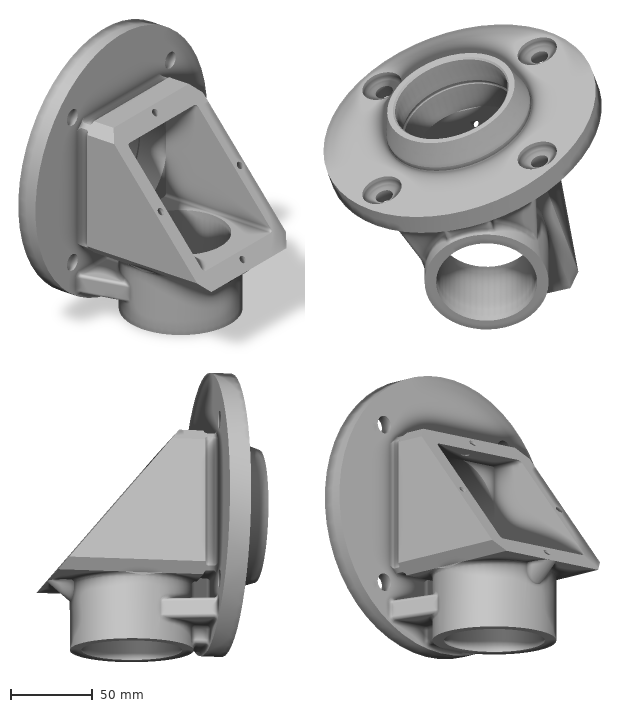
import cadquery as cq
import math

TOLERANCE = 0.02
BLEND = 2.1

FLANGE_DIA = 174.0
FLANGE_THICK = 13.2
BOLT_OFFSET = 49.6
BOLT_DIA = 11.0
BOLT_RECESS_DIA = 25.0
BOLT_RECESS_DEPTH = 5.0

SPIGOT_LENGTH = 19.0
SPIGOT_DIA = 92.0
SPIGOT_TIP_DIA = 81.5
SPIGOT_STRAIGHT = 3.5
SPIGOT_ROOT = 0.7

INLET_DIA = 72.0
INLET_BEVEL = 1.0
SEAL_DIA = 75.0
SEAL_START_X = -0.7
SEAL_WIDTH = 3.0

HOUSING_WIDTH = 89.8
HOUSING_CHAMFER = 6.8
HOUSING_TIP_X = 111.5
SLOPE_ANGLE = 50.0
GROOVE_WIDTH = 7.8

CAVITY_WIDTH = 70.0
CAVITY_START_X = 21.0

TUBE_DIA = 76.0
TUBE_BORE_DIA = 62.0
TUBE_X = 59.0
TUBE_BOTTOM_Z = -86.3

WEB_WIDTH = 29.5
WEB_BOTTOM_Z = -83.3
RIB_Z = -66.3
RIB_THICK = 12.5
RIB_ROOT_WIDTH = 89.5
RIB_TIP_X = 47.2

SCREW_DIA = 4.9
SCREW_DEPTH = 10.5
SCREW_INSET = 4.9
SCREW_TIP_INSET = 7.5
SCREW_SIDE_X = 74.1
BOSS_DIA = 15.3
BOSS_LENGTH = 24.4

HALF = HOUSING_WIDTH / 2
SLOPE = math.radians(SLOPE_ANGLE)
HOUSING_TOP_X = HOUSING_TIP_X - HOUSING_WIDTH / math.tan(SLOPE)
TUBE_R = TUBE_DIA / 2


def x_cylinder(dia, x_start, x_end, y=0.0, z=0.0):
    """Cylinder along X between two stations."""
    plane = cq.Workplane("YZ", origin=(x_start, y, z))
    return plane.circle(dia / 2).extrude(x_end - x_start)


def x_cone(start_dia, end_dia, x_start, x_end):
    """Truncated cone along X between two stations."""
    base = cq.Vector(x_start, 0, 0)
    along_x = cq.Vector(1, 0, 0)
    return cq.Workplane(cq.Solid.makeCone(start_dia / 2, end_dia / 2, x_end - x_start, base, along_x))


def slope_point(along, y):
    """Point on the sloping face, a distance up the slope from its lower tip."""
    return (HOUSING_TIP_X - along * math.cos(SLOPE), y, -HALF + along * math.sin(SLOPE))


def into_slope(dia, depth, along, y):
    """Cylinder entering the housing square to the sloping face."""
    inward = cq.Vector(-math.sin(SLOPE), 0, -math.cos(SLOPE))
    return cq.Workplane(cq.Solid.makeCylinder(dia / 2, depth, cq.Vector(*slope_point(along, y)), inward))


def below_slope():
    """Region under the sloping face."""
    return (
        cq.Workplane("XZ")
        .moveTo(0, HALF)
        .lineTo(HOUSING_TOP_X, HALF)
        .lineTo(HOUSING_TIP_X, -HALF)
        .lineTo(0, -HALF)
        .close()
        .extrude(HALF, both=True)
    )


def spigot():
    taper = x_cone(SPIGOT_TIP_DIA, SPIGOT_DIA, -SPIGOT_LENGTH, -SPIGOT_STRAIGHT)
    straight = x_cylinder(SPIGOT_DIA, -SPIGOT_STRAIGHT, 0)
    root = x_cone(SPIGOT_DIA, SPIGOT_DIA + 2 * SPIGOT_ROOT, -SPIGOT_ROOT, 0)
    return taper.union(straight).union(root)


def housing():
    prism = (
        cq.Workplane("YZ")
        .rect(HOUSING_WIDTH, HOUSING_WIDTH)
        .extrude(HOUSING_TIP_X)
        .edges("|X")
        .chamfer(HOUSING_CHAMFER)
        .intersect(below_slope())
    )
    groove = (
        cq.Workplane("XZ", origin=(FLANGE_THICK + GROOVE_WIDTH / 2, 0, HALF))
        .slot2D(GROOVE_WIDTH, 2 * BLEND)
        .extrude(HALF, both=True)
    )
    for quarter in range(4):
        prism = prism.cut(groove.rotate((0, 0, 0), (1, 0, 0), 90 * quarter))
    return prism


def tube():
    height = -HALF - TUBE_BOTTOM_Z + BLEND
    return cq.Workplane("XY", origin=(TUBE_X, 0, TUBE_BOTTOM_Z)).circle(TUBE_R).extrude(height)


def web():
    """Upright wall joining the flange to the tube."""
    length = TUBE_X - FLANGE_THICK
    height = -HALF - WEB_BOTTOM_Z + BLEND
    return (
        cq.Workplane("XY", origin=(FLANGE_THICK + length / 2, 0, WEB_BOTTOM_Z + height / 2))
        .box(length, WEB_WIDTH, height)
        .edges("<Z and |X")
        .fillet(BLEND)
    )


def rib():
    """Level plate whose flanks narrow from the flange to the tube."""
    tip_half = math.sqrt(TUBE_R**2 - (TUBE_X - RIB_TIP_X) ** 2)
    plate = (
        cq.Workplane("XY", origin=(0, 0, RIB_Z - RIB_THICK / 2))
        .polyline([
            (FLANGE_THICK, -RIB_ROOT_WIDTH / 2),
            (RIB_TIP_X, -tip_half),
            (RIB_TIP_X, tip_half),
            (FLANGE_THICK, RIB_ROOT_WIDTH / 2),
        ])
        .close()
        .extrude(RIB_THICK)
    )
    return plate.faces("not(|X or |Z)").edges("not(|Z)").fillet(BLEND)


def same(a, b):
    return abs(a - b) < TOLERANCE


def is_inner_corner(edge):
    """True for an edge where two of the flange, tube, web and rib meet, judged at its midpoint."""
    x, y, z = edge.positionAt(0.5).toTuple()
    inside_ends = TUBE_BOTTOM_Z + TOLERANCE < z < -HALF
    on_flange = same(x, FLANGE_THICK) and math.hypot(y, z) < FLANGE_DIA / 2 - TOLERANCE
    on_tube = same(math.hypot(x - TUBE_X, y), TUBE_R) and x < RIB_TIP_X - TOLERANCE
    web_to_rib = same(abs(y), WEB_WIDTH / 2) and same(abs(z - RIB_Z), RIB_THICK / 2)
    return inside_ends and (on_flange or on_tube or web_to_rib)


def flange_and_tube():
    """Flange, tube and their stiffeners with every inner corner blended."""
    frame = x_cylinder(FLANGE_DIA, 0, FLANGE_THICK).union(tube()).union(web()).union(rib())
    corners = [edge for edge in frame.edges().vals() if is_inner_corner(edge)]
    return frame.newObject(corners).fillet(BLEND)


def tube_collar():
    """Concave blend around the tube top, kept within the flat underside of the housing."""
    arc_depth = BLEND * (1 - math.sqrt(0.5))
    ring = (
        cq.Workplane("XZ", origin=(TUBE_X, 0, -HALF))
        .moveTo(0, 0)
        .lineTo(TUBE_R + BLEND, 0)
        .threePointArc((TUBE_R + arc_depth, -arc_depth), (TUBE_R, -BLEND))
        .lineTo(0, -BLEND)
        .close()
        .revolve(360, (0, 0, 0), (0, 1, 0))
    )
    flat_width = HOUSING_WIDTH - 2 * HOUSING_CHAMFER
    flat_strip = cq.Workplane("XY").box(2 * HOUSING_TIP_X, flat_width, 2 * HOUSING_WIDTH)
    return ring.intersect(flat_strip)


def bolt_hole(y, z):
    recess = x_cylinder(BOLT_RECESS_DIA, 0, BOLT_RECESS_DEPTH, y, z).faces(">X").edges().fillet(BLEND)
    return recess.union(x_cylinder(BOLT_DIA, 0, FLANGE_THICK, y, z))


def inlet():
    """Bevelled bore from the spigot tip to the cavity, with an internal ring groove."""
    bore = x_cylinder(INLET_DIA, -SPIGOT_LENGTH, CAVITY_START_X)
    mouth = x_cone(INLET_DIA + 2 * INLET_BEVEL, INLET_DIA, -SPIGOT_LENGTH, -SPIGOT_LENGTH + INLET_BEVEL)
    seal = x_cylinder(SEAL_DIA, SEAL_START_X, SEAL_START_X + SEAL_WIDTH)
    return bore.union(mouth).union(seal)


def cavity():
    return (
        cq.Workplane("YZ", origin=(CAVITY_START_X, 0, 0))
        .rect(CAVITY_WIDTH, CAVITY_WIDTH)
        .extrude(HOUSING_TIP_X - CAVITY_START_X)
        .edges("|X")
        .fillet(BLEND)
    )


def outlet():
    """Bore of the tube, from its lower end up into the cavity."""
    plane = cq.Workplane("XY", origin=(TUBE_X, 0, TUBE_BOTTOM_Z))
    return plane.circle(TUBE_BORE_DIA / 2).extrude(-TUBE_BOTTOM_Z)


slope_length = HOUSING_WIDTH / math.sin(SLOPE)
side_along = (HOUSING_TIP_X - SCREW_SIDE_X) / math.cos(SLOPE)
side_y = HALF - SCREW_INSET
screw_places = [
    (SCREW_TIP_INSET, 0),
    (slope_length - SCREW_INSET, 0),
    (side_along, -side_y),
    (side_along, side_y),
]

body = flange_and_tube().union(spigot()).union(housing()).union(tube_collar())
body = body.union(into_slope(BOSS_DIA, BOSS_LENGTH, SCREW_TIP_INSET, 0))

for y in (-BOLT_OFFSET, BOLT_OFFSET):
    for z in (-BOLT_OFFSET, BOLT_OFFSET):
        body = body.cut(bolt_hole(y, z))
body = body.cut(inlet()).cut(cavity()).cut(outlet())
for along, y in screw_places:
    body = body.cut(into_slope(SCREW_DIA, SCREW_DEPTH, along, y))

result = body